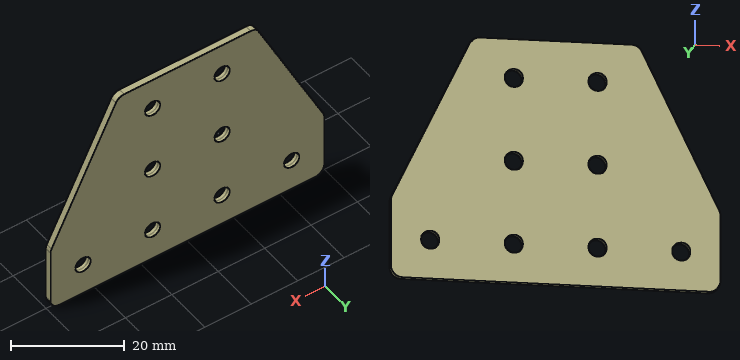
import cadquery as cq

width = 59
height = 44.0
thickness = 1.5
top_width = 29.75
side_height = 14.35
corner_radius = 2.0

hole_diameter = 3.25
hole_pitch = 15.0
holes_per_row = [4, 2, 2]
bottom_row_height = (height - (len(holes_per_row) - 1) * hole_pitch) / 2


def make_plate():
    """Symmetric plate with straight lower sides, sloped upper sides and rounded corners."""
    outline = [
        (-width / 2, 0),
        (width / 2, 0),
        (width / 2, side_height),
        (top_width / 2, height),
        (-top_width / 2, height),
        (-width / 2, side_height),
    ]
    plate = cq.Workplane("XZ").polyline(outline).close().extrude(thickness / 2, both=True)
    return plate.edges("|Y").fillet(corner_radius)


def hole_centers():
    """Hole positions, each row centred on the plate."""
    centers = []
    for row, count in enumerate(holes_per_row):
        for column in range(count):
            x = (column - (count - 1) / 2) * hole_pitch
            centers.append((x, bottom_row_height + row * hole_pitch))
    return centers


def make_holes():
    """Pins that cut the holes through the full thickness."""
    pins = cq.Workplane("XZ").pushPoints(hole_centers()).circle(hole_diameter / 2)
    return pins.extrude(thickness, both=True)


result = make_plate().cut(make_holes())